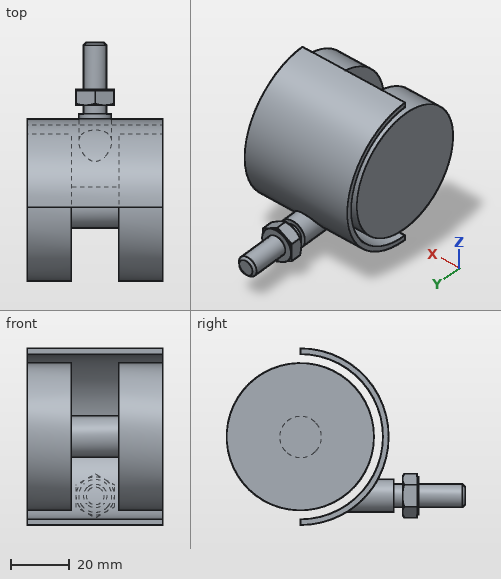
import cadquery as cq
import math


hood_diameter = 60.0
hood_radius = hood_diameter / 2
hood_wall = 2.0
hood_inner_radius = hood_radius - hood_wall

wheel_radius = 25.0
wheel_width = 15.0
wheel_gap = 16.0
axle_radius = 7.05
overall_width = 2 * wheel_width + wheel_gap

stem_drop = 20.0
stem_radius = 4.0
overall_length = 81
stem_end = overall_length - wheel_radius
tip_chamfer = 1.0
collar_radius = 5.6
collar_end = 31.75

nut_start = 34.7
nut_thickness = 4.95
nut_across_flats = 13.0
nut_across_corners = nut_across_flats / math.cos(math.radians(30))
nut_chamfer_angle = 30
nut_face_radius = nut_across_flats / 2
washer_face_thickness = 0.5


def cylinder_along_x(radius, width):
    """Cylinder about the wheel axis, centred on X = 0."""
    return cq.Workplane("YZ").circle(radius).extrude(width / 2, both=True)


def stem_plane(y):
    """Workplane across the stem axis; local X is +Z and extrusion runs along +Y."""
    return cq.Workplane(cq.Plane(origin=(0, y, -stem_drop), xDir=(0, 0, 1), normal=(0, 1, 0)))


def make_hood():
    return (
        cq.Workplane("YZ", origin=(-overall_width / 2, 0, 0))
        .moveTo(0, hood_radius)
        .threePointArc((hood_radius, 0), (0, -hood_radius))
        .lineTo(0, -hood_inner_radius)
        .threePointArc((hood_inner_radius, 0), (0, hood_inner_radius))
        .close()
        .extrude(overall_width)
    )


def make_stem():
    """Collar and chamfered rod, trimmed so that it ends within the hood wall."""
    collar = stem_plane(0).circle(collar_radius).extrude(collar_end)
    rod = stem_plane(0).circle(stem_radius).extrude(stem_end).faces(">Y").chamfer(tip_chamfer)
    return collar.union(rod).cut(cylinder_along_x(hood_radius - hood_wall / 2, overall_width))


def make_nut():
    """Hexagon with its corners along Z, a conical hood-side face and a round washer face."""
    hexagon = stem_plane(nut_start).polygon(6, nut_across_corners).extrude(nut_thickness)
    cone_rise = nut_thickness * math.tan(math.radians(90 - nut_chamfer_angle))
    cone = (
        stem_plane(nut_start)
        .circle(nut_face_radius)
        .workplane(offset=nut_thickness)
        .circle(nut_face_radius + cone_rise)
        .loft()
    )
    washer_face = (
        stem_plane(nut_start + nut_thickness).circle(nut_face_radius).extrude(washer_face_thickness)
    )
    return hexagon.intersect(cone).union(washer_face)


def make_frame():
    """Hood, stem and nut as one solid."""
    return make_hood().union(make_stem()).union(make_nut())


def make_wheel_set():
    """Two wheels and their axle as one solid."""
    wheels = cylinder_along_x(wheel_radius, overall_width).cut(cylinder_along_x(wheel_radius, wheel_gap))
    return wheels.union(cylinder_along_x(axle_radius, overall_width))


frame = make_frame().solids()
wheel_set = make_wheel_set().solids()

result = cq.Compound.makeCompound([frame.val(), wheel_set.val()])